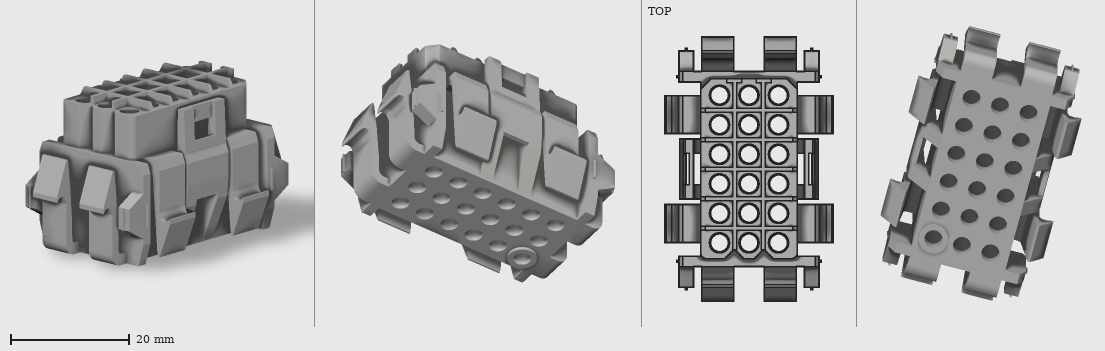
import cadquery as cq

column_count = 3
row_count = 6
row_span = 25.0
contact_pitch = row_span / (row_count - 1)
mouth_radius = 1.7
mouth_depth = 22.4
bore_radius = 1.52
column_positions = [(i - (column_count - 1) / 2) * contact_pitch for i in range(column_count)]
row_positions = [(i - (row_count - 1) / 2) * contact_pitch for i in range(row_count)]

block_half_x = 8.2
block_front_y = -15.2
block_back_y = 15.3
block_top = 25.45
back_corner_chamfer = 1.8
front_corner_radius = 1.05
notch_depth = 1.5
notch_floor_half = 0.15

rib_top = 26.92
rib_width = 0.65
rib_end_slope = 0.8
long_rib_x = 2.4
cap_width = 2.45
cap_thickness = 0.65

flange_inner_y = 14.75
flange_outer_y = 16.55
flange_half_x = 11.85
flange_top_half_x = 11.25
flange_bottom_half_x = 10.75
flange_top = 17.85
flange_upper_bevel_z = 16.15
flange_lower_bevel_z = 3.9

tab_inner_x = 9.35
tab_outer_y = 20.03
tab_face_bottom = 7.05
tab_face_top = 10.9
tab_root_bottom = 4.97
tab_root_top = 12.9
crush_rib_width = 0.3
crush_rib_height = 0.4
tab_rib_x = (tab_inner_x + flange_half_x) / 2
flange_rib_y = (flange_inner_y + flange_outer_y) / 2

embed = 0.45

end_hook_x = 5.3
end_hook_width = 5.45
end_arm_outer_bend = 1.95
end_arm_inner_bend = 1.0
end_arm_foot = 1.8
end_arm_inner_y = 18.55
end_barb_tip_y = 22.4
end_barb_lip_bottom = 9.9
end_barb_lip_top = 10.75
end_barb_top = 16.9

side_hook_y = 9.25
side_hook_width = 6.45
bridge_underside = 16.0
bridge_bend = 1.0
side_arm_inner_x = 10.3
side_barb_tip_x = 14.3
side_barb_lip_bottom = 7.15
side_barb_lip_top = 8.0
side_barb_bottom = 0.95

latch_half_y = 5.1
window_half_y = 2.65
latch_top = 25.05
latch_wall_inner_x = 10.65
window_back_x = 10.12
window_sill_z = 19.2
window_header_z = 22.2
latch_opening_z = 9.05
leg_bottom = 0.4
leg_elbow_z = 8.1
latch_bulge_x = 11.75
latch_bulge_bottom = 11.8
latch_bulge_top = 15.85
foot_bend = 0.6
foot_top = 11.1

ring_radius = 2.5
ring_height = 0.6


def box(x0, x1, y0, y1, z0, z1):
    """Box between two opposite corners."""
    return cq.Workplane("XY").box(x1 - x0, y1 - y0, z1 - z0, centered=False).translate((x0, y0, z0))


def extrude_along_y(profile, center_y, width):
    """Extrude an XZ profile along Y, centred on center_y."""
    return profile.extrude(width / 2, both=True).translate((0, center_y, 0))


def extrude_along_x(profile, center_x, width):
    """Extrude a YZ profile along X, centred on center_x."""
    return profile.extrude(width / 2, both=True).translate((center_x, 0, 0))


def on_both_sides(shape, plane):
    """Join a shape with its mirror image."""
    return shape.union(shape.mirror(plane))


def make_block():
    half = block_half_x
    lower = box(-half, half, block_front_y, block_back_y, 0, flange_top)
    upper = box(-half, half, block_front_y, block_back_y, flange_top, block_top)
    upper = upper.edges("|Z and >Y").chamfer(back_corner_chamfer)
    upper = upper.edges("|Z and <Y").fillet(front_corner_radius)
    notch_mouth_half = notch_floor_half + notch_depth
    for x in (-contact_pitch / 2, contact_pitch / 2):
        notch = (
            cq.Workplane("XY", origin=(x, block_front_y, flange_top))
            .moveTo(-notch_mouth_half, 0)
            .lineTo(-notch_floor_half, notch_depth)
            .lineTo(notch_floor_half, notch_depth)
            .lineTo(notch_mouth_half, 0)
            .close()
            .extrude(block_top - flange_top)
        )
        upper = upper.cut(notch)
    return lower.union(upper)


def make_ribs():
    half = block_half_x
    cross_profile = (
        cq.Workplane("XZ")
        .moveTo(-half, block_top)
        .lineTo(-half + rib_end_slope, rib_top)
        .lineTo(half - rib_end_slope, rib_top)
        .lineTo(half, block_top)
        .close()
    )
    cross_rib = extrude_along_y(cross_profile, 0, rib_width)
    ribs = cq.Workplane("XY")
    for row in row_positions[:-1]:
        ribs = ribs.union(cross_rib.translate((0, row + contact_pitch / 2, 0)))
    for side in (-1, 1):
        x = side * long_rib_x
        ribs = ribs.union(
            box(x - rib_width / 2, x + rib_width / 2,
                block_front_y + notch_depth, block_back_y, block_top, rib_top)
        )
        cap_x = side * contact_pitch / 2
        ribs = ribs.union(
            box(cap_x - cap_width / 2, cap_x + cap_width / 2,
                block_back_y - cap_thickness, block_back_y, block_top, rib_top)
        )
    return ribs


def make_flange():
    """Flange at the +Y end with its guide tabs and crush ribs."""
    outline = (
        cq.Workplane("XZ")
        .moveTo(-flange_bottom_half_x, 0)
        .lineTo(flange_bottom_half_x, 0)
        .lineTo(flange_half_x, flange_lower_bevel_z)
        .lineTo(flange_half_x, flange_upper_bevel_z)
        .lineTo(flange_top_half_x, flange_top)
        .lineTo(-flange_top_half_x, flange_top)
        .lineTo(-flange_half_x, flange_upper_bevel_z)
        .lineTo(-flange_half_x, flange_lower_bevel_z)
        .close()
    )
    flange = extrude_along_y(outline, flange_rib_y, flange_outer_y - flange_inner_y)

    tab_profile = (
        cq.Workplane("YZ")
        .moveTo(flange_inner_y, tab_root_bottom)
        .lineTo(flange_outer_y, tab_root_bottom)
        .lineTo(tab_outer_y, tab_face_bottom)
        .lineTo(tab_outer_y, tab_face_top)
        .lineTo(flange_outer_y, tab_root_top)
        .lineTo(flange_inner_y, tab_root_top)
        .close()
    )
    tab = extrude_along_x(tab_profile, tab_rib_x, flange_half_x - tab_inner_x)
    half = crush_rib_width / 2
    tab_rib = box(tab_rib_x - half, tab_rib_x + half, flange_outer_y, tab_outer_y + crush_rib_height,
                  tab_face_bottom, tab_face_top)
    side_rib = box(tab_inner_x, flange_half_x + crush_rib_height, flange_rib_y - half, flange_rib_y + half,
                   tab_face_bottom, tab_face_top)
    return flange.union(on_both_sides(tab.union(tab_rib).union(side_rib), "YZ"))


def make_end_hooks():
    """Pair of upturned hooks at the +Y end."""
    profile = (
        cq.Workplane("YZ")
        .moveTo(flange_rib_y, 0)
        .lineTo(tab_outer_y - end_arm_outer_bend, 0)
        .radiusArc((tab_outer_y, end_arm_outer_bend), -end_arm_outer_bend)
        .lineTo(tab_outer_y, 9.2)
        .lineTo(20.6, 10.5)
        .threePointArc((21.4, 10.6), (22.2, end_barb_lip_bottom))
        .lineTo(end_barb_tip_y, end_barb_lip_bottom)
        .lineTo(end_barb_tip_y, end_barb_lip_top)
        .lineTo(tab_outer_y, end_barb_top)
        .lineTo(19.6, end_barb_top)
        .lineTo(19.05, 11.65)
        .lineTo(18.65, 6.25)
        .lineTo(end_arm_inner_y, end_arm_foot + end_arm_inner_bend)
        .radiusArc((end_arm_inner_y - end_arm_inner_bend, end_arm_foot), end_arm_inner_bend)
        .lineTo(flange_rib_y, end_arm_foot)
        .close()
    )
    return on_both_sides(extrude_along_x(profile, end_hook_x, end_hook_width), "YZ")


def make_side_hooks():
    """Pair of downturned hooks on the +X side, hung from bridges on the block."""
    root_x = block_half_x - embed
    profile = (
        cq.Workplane("XZ")
        .moveTo(root_x, flange_top)
        .lineTo(flange_top_half_x, flange_top)
        .lineTo(flange_half_x, flange_upper_bevel_z)
        .lineTo(flange_half_x, 8.75)
        .lineTo(12.1, 7.95)
        .threePointArc((12.28, 7.55), (12.6, 7.4))
        .lineTo(13.1, 7.3)
        .threePointArc((13.57, 7.55), (14.0, side_barb_lip_top))
        .lineTo(side_barb_tip_x, side_barb_lip_top)
        .lineTo(side_barb_tip_x, side_barb_lip_bottom)
        .lineTo(flange_half_x, side_barb_bottom)
        .lineTo(11.55, side_barb_bottom)
        .lineTo(11.35, 2.0)
        .lineTo(side_arm_inner_x, bridge_underside - bridge_bend)
        .radiusArc((side_arm_inner_x - bridge_bend, bridge_underside), -bridge_bend)
        .lineTo(root_x, bridge_underside)
        .close()
    )
    return on_both_sides(extrude_along_y(profile, side_hook_y, side_hook_width), "XZ")


def make_latch():
    """Centre latch on the +X side: an upright plate standing on two sloping legs."""
    root_x = block_half_x - embed
    profile = (
        cq.Workplane("XZ")
        .moveTo(block_half_x, leg_bottom)
        .lineTo(11.42, leg_elbow_z)
        .lineTo(latch_bulge_x, latch_bulge_bottom)
        .lineTo(latch_bulge_x, latch_bulge_top)
        .lineTo(11.15, 17.35)
        .lineTo(10.8, latch_top)
        .lineTo(9.4, latch_top)
        .lineTo(9.15, 11.65)
        .radiusArc((8.6, foot_top), foot_bend)
        .lineTo(root_x, foot_top)
        .lineTo(root_x, leg_bottom)
        .close()
    )
    latch = extrude_along_y(profile, 0, 2 * latch_half_y)

    half = window_half_y
    far_x = flange_half_x
    gap_behind_wall = box(block_half_x, latch_wall_inner_x, -half, half, 0, window_header_z)
    window = box(window_back_x, far_x, -half, half, window_sill_z, latch_top)
    opening_between_legs = box(block_half_x, far_x, -half, half, 0, latch_opening_z)
    return latch.cut(gap_behind_wall).cut(window).cut(opening_between_legs)


def drill_contacts(body):
    points = [(x, y) for x in column_positions for y in row_positions]
    bores = cq.Workplane("XY", origin=(0, 0, -ring_height)).pushPoints(points)
    body = body.cut(bores.circle(bore_radius).extrude(rib_top + ring_height))
    mouths = cq.Workplane("XY", origin=(0, 0, block_top - mouth_depth)).pushPoints(points)
    return body.cut(mouths.circle(mouth_radius).extrude(mouth_depth))


ring = (
    cq.Workplane("XY", origin=(column_positions[-1], row_positions[0], -ring_height))
    .circle(ring_radius)
    .extrude(ring_height)
)

body = make_block().union(make_ribs()).union(ring)
body = body.union(on_both_sides(make_flange().union(make_end_hooks()), "XZ"))
body = body.union(on_both_sides(make_side_hooks().union(make_latch()), "YZ"))
result = drill_contacts(body)